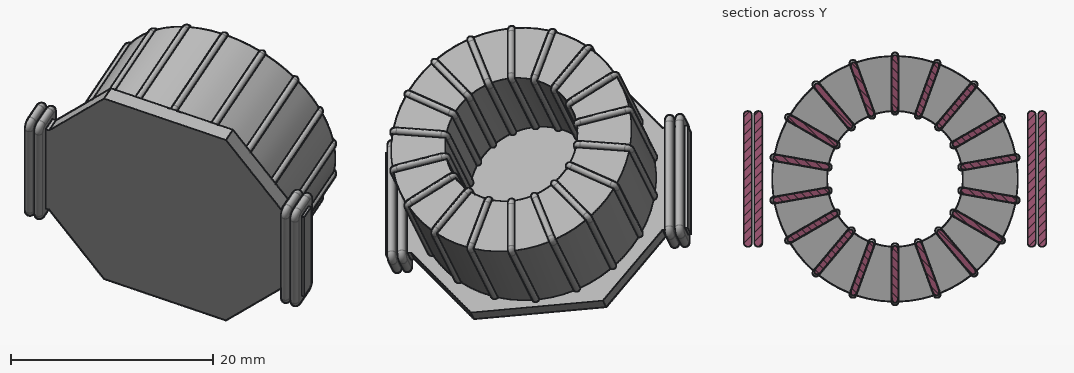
import cadquery as cq

PLATE_LENGTH = 30.5
PLATE_SIZE = 25.4
TOP_FLAT = 13.35
TAB_HEIGHT = 11.15
PLATE_THICKNESS = 1.6

PAD_THICKNESS = 0.85
PAD_DEPTH = 3.9
PAD_HEIGHT = 13.48
PAD_PITCH = 1.05
PAD_END_MARGIN = 0.27
PAD_BEND = 0.58

TURN_COUNT = 18
WIRE_DIAMETER = 0.7
WIRE_BEND = 0.43
TURN_OUTER_RADIUS = 12.5
TURN_INNER_RADIUS = 6.35
COIL_DEPTH = 12.5
END_PROTRUSION = 0.43

WIRE_RADIUS = WIRE_DIAMETER / 2
CORE_RADIUS = TURN_OUTER_RADIUS - WIRE_RADIUS
CORE_HOLE_RADIUS = TURN_INNER_RADIUS + WIRE_RADIUS
CORE_DEPTH = COIL_DEPTH - 2 * END_PROTRUSION

PLATE_CENTER_Y = -PLATE_THICKNESS / 2
COIL_CENTER_Y = COIL_DEPTH / 2


def wire_loop(width, height, wire_radius, bend):
    """Closed loop of round wire in the XY plane, width and height over its outside."""
    x = width / 2 - wire_radius
    y = height / 2 - wire_radius
    path = (
        cq.Workplane("XY")
        .moveTo(x, bend - y)
        .lineTo(x, y - bend)
        .tangentArcPoint((x - bend, y), relative=False)
        .lineTo(bend - x, y)
        .tangentArcPoint((-x, y - bend), relative=False)
        .lineTo(-x, bend - y)
        .tangentArcPoint((bend - x, -y), relative=False)
        .lineTo(x - bend, -y)
        .tangentArcPoint((x, bend - y), relative=False)
        .wire()
    )
    profile = cq.Workplane("XZ", origin=(x, bend - y, 0)).circle(wire_radius)
    return profile.sweep(path)


def make_pad(center_x):
    """One terminal pad: a round rim filled by a flat slab as thick as the rim."""
    rim_radius = PAD_THICKNESS / 2
    rim = wire_loop(PAD_DEPTH, PAD_HEIGHT, rim_radius, PAD_BEND)
    slab = (
        cq.Workplane("XY")
        .box(PAD_DEPTH - PAD_THICKNESS, PAD_HEIGHT - PAD_THICKNESS, PAD_THICKNESS)
        .edges("|Z")
        .fillet(PAD_BEND)
    )
    pad = slab.union(rim)
    pad = pad.rotate((0, 0, 0), (1, 0, 0), 90)
    pad = pad.rotate((0, 0, 0), (0, 0, 1), 90)
    return pad.translate((center_x, PLATE_CENTER_Y, 0))


def make_base():
    """Base plate with two terminal pads on each tab."""
    half = PLATE_SIZE / 2
    octagon = [
        (TOP_FLAT / 2, half),
        (half, TAB_HEIGHT / 2),
        (half, -TAB_HEIGHT / 2),
        (TOP_FLAT / 2, -half),
        (-TOP_FLAT / 2, -half),
        (-half, -TAB_HEIGHT / 2),
        (-half, TAB_HEIGHT / 2),
        (-TOP_FLAT / 2, half),
    ]
    base = cq.Workplane("XZ").polyline(octagon).close().extrude(PLATE_THICKNESS)
    tabs = cq.Workplane("XZ").rect(PLATE_LENGTH, TAB_HEIGHT).extrude(PLATE_THICKNESS)
    base = base.union(tabs)

    outer_pad_x = PLATE_LENGTH / 2 - PAD_END_MARGIN - PAD_THICKNESS / 2
    for side in (-1, 1):
        for index in range(2):
            base = base.union(make_pad(side * (outer_pad_x - index * PAD_PITCH)))
    return base


def make_coil():
    """Ring core, axis along Y, fused with its evenly spaced turns of wire."""
    coil = (
        cq.Workplane("XZ", origin=(0, COIL_CENTER_Y + CORE_DEPTH / 2, 0))
        .circle(CORE_RADIUS)
        .circle(CORE_HOLE_RADIUS)
        .extrude(CORE_DEPTH)
    )
    turn_width = TURN_OUTER_RADIUS - TURN_INNER_RADIUS
    turn_center_x = (TURN_OUTER_RADIUS + TURN_INNER_RADIUS) / 2
    turn = wire_loop(turn_width, COIL_DEPTH, WIRE_RADIUS, WIRE_BEND)
    turn = turn.translate((turn_center_x, COIL_CENTER_Y, 0))
    step = 360 / TURN_COUNT
    for index in range(TURN_COUNT):
        coil = coil.union(turn.rotate((0, 0, 0), (0, 1, 0), (index + 0.5) * step))
    return coil


base = make_base()
coil = make_coil()
result = cq.Compound.makeCompound([base.solids().val(), coil.solids().val()])